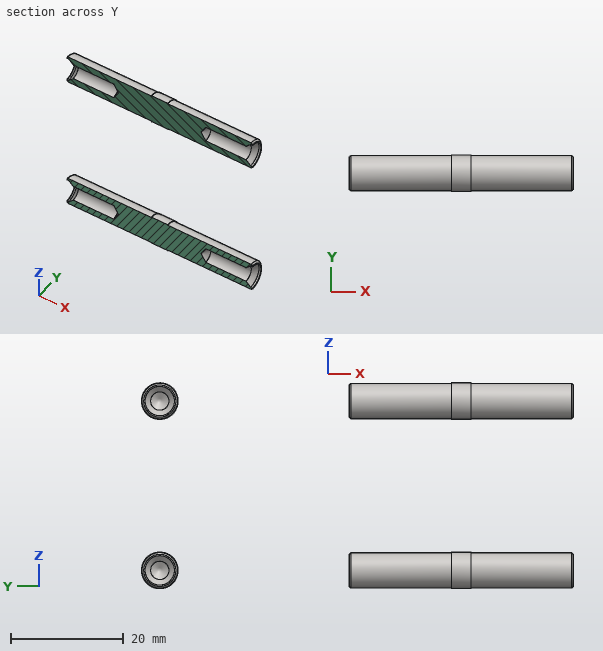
import cadquery as cq
import math

pin_length = 39.7
pin_diameter = 6.3
end_chamfer = 0.3

band_diameter = 6.5
band_length = 3.5

hole_diameter = 3.24
mouth_diameter = 5.2
mouth_depth = 0.4
taper_depth = (mouth_diameter - hole_diameter) / 2
hole_depth = 10.0
drill_point_angle = 118.0

pin_spacing = 30.0
pin_heights = [-pin_spacing / 2, pin_spacing / 2]


def make_cylinder(diameter, length):
    """Cylinder along X, centred on the origin."""
    return cq.Workplane("YZ", origin=(-length / 2, 0, 0)).circle(diameter / 2).extrude(length)


def make_shaft():
    """Chamfered cylinder with the raised middle band."""
    shaft = make_cylinder(pin_diameter, pin_length).faces("<X or >X").chamfer(end_chamfer)
    return shaft.union(make_cylinder(band_diameter, band_length))


def make_end_hole():
    """Cutter for the hole in the -X end, revolved about the X axis."""
    hole_radius = hole_diameter / 2
    end_x = -pin_length / 2
    taper_start_x = end_x + mouth_depth
    hole_bottom_x = end_x + hole_depth
    point_length = hole_radius / math.tan(math.radians(drill_point_angle / 2))
    return (
        cq.Workplane("XY")
        .moveTo(end_x, 0)
        .lineTo(end_x, mouth_diameter / 2)
        .lineTo(taper_start_x, mouth_diameter / 2)
        .lineTo(taper_start_x + taper_depth, hole_radius)
        .lineTo(hole_bottom_x, hole_radius)
        .lineTo(hole_bottom_x + point_length, 0)
        .close()
        .revolve(360, (0, 0, 0), (1, 0, 0))
    )


def make_pin(height):
    """One pin with a hole in both ends, its axis at the given Z."""
    end_hole = make_end_hole()
    pin = make_shaft().cut(end_hole).cut(end_hole.mirror("YZ"))
    return pin.translate((0, 0, height))


pins = [make_pin(height) for height in pin_heights]

result = cq.Compound.makeCompound([pin.val() for pin in pins])